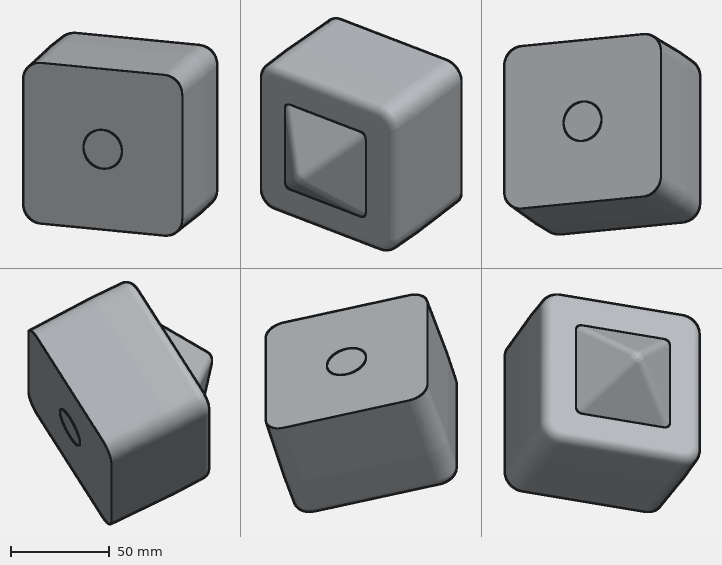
import cadquery as cq
import math

width = 86.4
corner_radius = 10.2
front_depth = 36.0
back_depth = 23.0
draft_angle = 1.0

edge_radius = 5.0

overall_depth = 82.25
body_depth = front_depth + back_depth
tip_loss = edge_radius * (math.sqrt(2) - 1)
pyramid_height = overall_depth - body_depth + tip_loss

recess_diameter = 20.6
recess_depth = 0.2


def drafted_half(depth, direction):
    """Rounded square block shrinking from the parting plane toward +Y (1) or -Y (-1)."""
    parting_plane = cq.Plane(
        origin=(0, front_depth, 0), xDir=(1, 0, 0), normal=(0, direction, 0)
    )
    outline = cq.Sketch().rect(width, width).vertices().fillet(corner_radius)
    return cq.Workplane(parting_plane).placeSketch(outline).extrude(depth, taper=draft_angle)


def polygon_face(corners):
    """Flat face bounded by straight edges through the given corners."""
    return cq.Face.makeFromWires(cq.Wire.makePolygon(corners, close=True))


def rounded_pyramid():
    """Square pyramid pointing to +Y, slanted edges rounded, foot sunk into the housing."""
    foot_y = body_depth - edge_radius
    apex = cq.Vector(0, body_depth + pyramid_height, 0)
    half_width = apex.y - foot_y
    foot_corners = [
        cq.Vector(x_side * half_width, foot_y, z_side * half_width)
        for x_side, z_side in [(-1, -1), (1, -1), (1, 1), (-1, 1)]
    ]
    next_corners = foot_corners[1:] + foot_corners[:1]
    faces = [polygon_face(foot_corners)]
    for start, end in zip(foot_corners, next_corners):
        faces.append(polygon_face([start, end, apex]))
    sharp = cq.Solid.makeSolid(cq.Shell.makeShell(faces))
    slanted_edges = cq.Workplane(sharp).edges("not #Y")
    return slanted_edges.fillet(edge_radius)


front_half = drafted_half(front_depth, -1)
back_half = drafted_half(back_depth, 1).faces(">Y").edges().fillet(edge_radius)
recess = cq.Workplane("XZ").circle(recess_diameter / 2).extrude(-recess_depth)

result = front_half.union(back_half).cut(recess).union(rounded_pyramid())